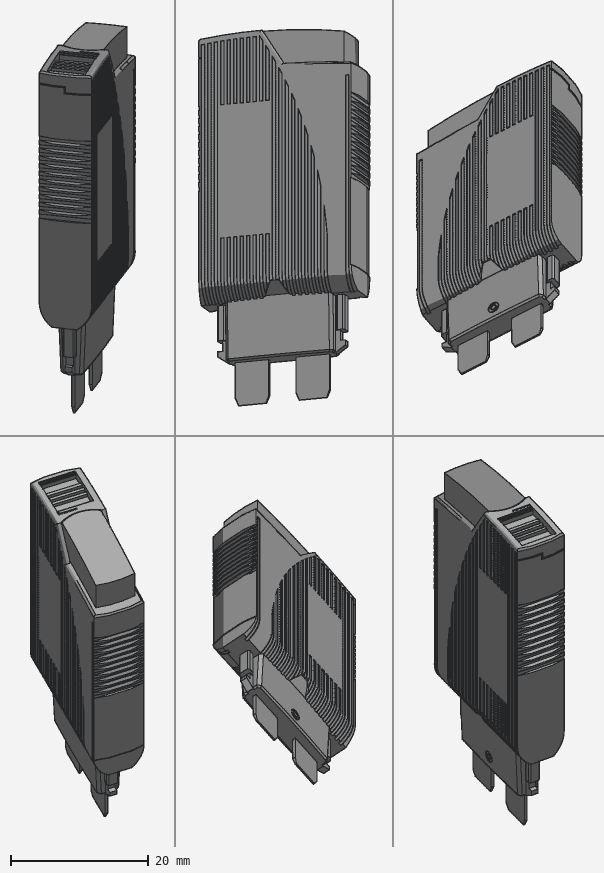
import cadquery as cq
import math


total_height = 55.2
half_thickness = 3.945
half_depth = 12.2
corner_half_depth = 11.8
flat_half_width = 1.75
shell_bottom = 15.05
shoulder_start = 18.6
shoulder_radius = 4.1
top_edge_radius = 0.35
top_end_chamfer = 0.2
lower_back_relief = 0.1

crown_centre_y = -2.75
crown_radius = 77.3
deck_radius = 135.25
deck_crest = 49.95
slope_top_y = -2.15
slope_bottom_y = 1.2

button_half_width = 3.1
button_back_corner_y = 10.4
button_back_bulge = 0.3
button_front_corner_y = -2.1
button_front_bulge = 0.95
button_clearance = 0.1

groove_depth = 0.15
groove_width = 0.5
groove_pitch = 1.0
groove_count = 20
first_groove_y = 8.05
groove_top_drop = 0.95
edge_groove_top = 47.2
label_bottom = 24.4
label_top = 44.5
label_front_y = -8.5
label_back_y = -0.8
grooved_area_arc = [(8.15, 21.6), (3.55, 42.9), (-2.45, 54.3)]

thumb_depth = 0.3
thumb_centre_y = -0.2
thumb_top = 17.45
thumb_middle = 16.35
thumb_top_half_width = 0.65
thumb_middle_half_width = 1.3
thumb_bottom_half_width = 2.2

grip_bottom = 31.75
grip_top = 44.55
grip_floor_half_depth = 11.75
grip_rib_count = 10
grip_rib_pitch = 1.205
grip_rib_base = 0.7
grip_rib_tip = 0.3

seam_width = 0.15
seam_depth = 0.15
front_seam_left_z = 52.7
front_seam_right_z = 51.8
top_seam_y = -3.85

window_half_width = 2.85
window_back_y = -4.35
window_front_y = -11.25
window_rim_steps = 2
window_rim_step = 0.2
window_depth = 1.2
bar_count = 3
bar_width = 0.5
bar_pitch = 1.0
bar_height = 0.55
first_bar_y = -6.55
bar_end_gap = 0.2

plug_centre_y = -0.2
plug_bottom = 6.45
plug_top = 16.0
plug_bottom_half_thickness = 1.8
plug_top_half_thickness = 2.2
plug_half_depth = 8.35
plug_corner = 0.5
plug_side_drop = 0.1
plug_bottom_panel_half_width = 2.5
plug_top_panel_half_width = 2.85
plug_bottom_chamfer = 0.3

latch_half_depth = 9.9
latch_neck_half_depth = 9.1
flange_inner_half_depth = 8.55
flange_half_thickness = 0.95
flange_chamfer = 0.3
flange_bottom = 9.8
hook_half_thickness = 0.55
hook_top = 8.3
hook_tip_bottom = 7.5

mark_z = 8.7
mark_radius = 0.9
mark_centre_radius = 0.45
mark_depth = 0.15

blade_width = 5.2
blade_spacing = 9.4
blade_thickness = 0.5
blade_taper_height = 1.1
blade_taper_inset = 0.45
blade_tip_thickness = 0.2


def box_between(x_range, y_range, z_range):
    """Axis-aligned box given by its limits along each axis."""
    size = [limits[1] - limits[0] for limits in (x_range, y_range, z_range)]
    return cq.Workplane("XY").box(*size, centered=False).translate((x_range[0], y_range[0], z_range[0]))


def crown_z(y, drop=0.0):
    """Height of the crowned top at y, or of the concentric arc that lies lower by drop."""
    radius = crown_radius - drop
    return total_height - crown_radius + math.sqrt(radius**2 - (y - crown_centre_y) ** 2)


def deck_z(y):
    """Height of the lower deck at y."""
    return deck_crest - deck_radius + math.sqrt(deck_radius**2 - (y - crown_centre_y) ** 2)


def crown_arc(sketch, y_from, y_to, drop=0.0):
    """Continue an outline along the crown arc from y_from to y_to."""
    y_middle = (y_from + y_to) / 2
    return sketch.threePointArc((y_middle, crown_z(y_middle, drop)), (y_to, crown_z(y_to, drop)))


def deck_arc(sketch, y_from, y_to):
    """Continue an outline along the deck arc from y_from to y_to."""
    y_middle = (y_from + y_to) / 2
    return sketch.threePointArc((y_middle, deck_z(y_middle)), (y_to, deck_z(y_to)))


def across_thickness(sketch):
    """Extrude a closed YZ outline through the whole thickness."""
    return sketch.close().extrude(half_thickness, both=True)


def thickness_profile(inset):
    """Solid with rounded lower shoulders, smaller than the shell by inset on faces and shoulders."""
    half_width = half_thickness - inset
    radius = shoulder_radius - inset
    centre_x = half_thickness - shoulder_radius
    drop = shoulder_start - shell_bottom
    bottom_x = centre_x + math.sqrt(radius**2 - drop**2)
    middle_angle = math.asin(drop / radius) / 2
    middle_x = centre_x + radius * math.cos(middle_angle)
    middle_z = shoulder_start - radius * math.sin(middle_angle)
    return (
        cq.Workplane("XZ")
        .moveTo(-bottom_x, shell_bottom)
        .lineTo(bottom_x, shell_bottom)
        .threePointArc((middle_x, middle_z), (half_width, shoulder_start))
        .lineTo(half_width, total_height)
        .lineTo(-half_width, total_height)
        .lineTo(-half_width, shoulder_start)
        .threePointArc((-middle_x, middle_z), (-bottom_x, shell_bottom))
        .close()
        .extrude(half_depth, both=True)
    )


def plan_prism():
    """Six-sided plan with a flat middle and two slanted flanks at the front and at the back."""
    quarter = [(half_thickness, corner_half_depth), (flat_half_width, half_depth)]
    back = quarter + [(-x, y) for x, y in reversed(quarter)]
    front = [(-x, -y) for x, y in back]
    return cq.Workplane("XY").polyline(back + front).close().extrude(total_height)


def side_profile():
    """Side outline with the crowned top, the slope and the lower deck."""
    sketch = cq.Workplane("YZ").moveTo(-half_depth, shell_bottom).lineTo(-half_depth, crown_z(-half_depth))
    sketch = crown_arc(sketch, -half_depth, slope_top_y)
    sketch = sketch.lineTo(slope_bottom_y, deck_z(slope_bottom_y))
    sketch = deck_arc(sketch, slope_bottom_y, half_depth)
    return across_thickness(sketch.lineTo(half_depth, shell_bottom))


def rounded_shell():
    """Shell with rounded upper side edges and chamfered upper front and back edges."""
    shell = side_profile().intersect(thickness_profile(0))
    top_zone = cq.selectors.BoxSelector(
        (-total_height, -half_depth, deck_z(half_depth)), (total_height, half_depth, total_height)
    )
    crosswise = cq.selectors.ParallelDirSelector(cq.Vector(1, 0, 0))
    upright = cq.selectors.ParallelDirSelector(cq.Vector(0, 0, 1))
    shell = shell.edges(top_zone - crosswise - upright).fillet(top_edge_radius)
    shell = shell.intersect(plan_prism()).cut(make_lower_back_relief())
    front_bevel = make_end_bevel(-1, crown_z(-half_depth))
    return shell.cut(front_bevel).cut(make_end_bevel(1, deck_z(half_depth)))


def make_end_bevel(side, edge_z):
    """Wedge that bevels the upper front (side -1) or back (side 1) edge along flat and flanks."""
    flank_slope = (half_depth - corner_half_depth) / (half_thickness - flat_half_width)
    outer_x = 2 * half_thickness
    outer_y = half_depth - flank_slope * (outer_x - flat_half_width)
    points = [(outer_x, 0), (outer_x, outer_y), (flat_half_width, half_depth)]
    points += [(-x, y) for x, y in reversed(points)]
    bevel_height = 2 * top_end_chamfer
    kept = (
        cq.Workplane("XY", origin=(0, 0, edge_z - top_end_chamfer))
        .polyline([(x, side * y) for x, y in points])
        .close()
        .extrude(bevel_height, taper=45)
    )
    wedge = box_between(
        (-half_thickness, half_thickness),
        sorted((side * (corner_half_depth - bevel_height), side * half_depth)),
        (edge_z - top_end_chamfer, edge_z + top_end_chamfer),
    )
    return wedge.cut(kept)


def make_lower_back_relief():
    """Thin layer taken off the back edge below its grip ribs."""
    band = box_between((-half_thickness, half_thickness), (0, half_depth), (shoulder_start, grip_bottom))
    return band.cut(plan_prism().translate((0, -lower_back_relief, 0)))


def button_plan(clearance):
    """Tall prism with bulged front and back faces, widened all round by the clearance."""
    half_width = button_half_width + clearance
    front_y = button_front_corner_y - clearance
    back_y = button_back_corner_y + clearance
    return (
        cq.Workplane("XY")
        .moveTo(half_width, front_y)
        .lineTo(half_width, back_y)
        .threePointArc((0, back_y + button_back_bulge), (-half_width, back_y))
        .lineTo(-half_width, front_y)
        .threePointArc((0, front_y - button_front_bulge), (half_width, front_y))
        .close()
        .extrude(total_height)
    )


def above_deck():
    """Space between the deck arc and the crown arc."""
    sketch = cq.Workplane("YZ").moveTo(-half_depth, crown_z(-half_depth))
    sketch = crown_arc(sketch, -half_depth, half_depth)
    sketch = sketch.lineTo(half_depth, deck_z(half_depth))
    return across_thickness(deck_arc(sketch, half_depth, -half_depth))


def make_button():
    return button_plan(0).intersect(above_deck())


def make_button_bay():
    return button_plan(button_clearance).intersect(above_deck())


def skin(depth):
    """Layer of the given depth on the broad faces and shoulders."""
    return thickness_profile(0).cut(thickness_profile(depth))


def grooved_area():
    """Prism over the part of the broad faces that carries grooves."""
    low, middle, high = grooved_area_arc
    sketch = cq.Workplane("YZ").moveTo(low[0], shell_bottom).lineTo(*low).threePointArc(middle, high)
    sketch = sketch.lineTo(high[0], crown_z(high[0], groove_top_drop))
    sketch = crown_arc(sketch, high[0], -half_depth, groove_top_drop)
    area = across_thickness(sketch.lineTo(-half_depth, shell_bottom))
    label = box_between(
        (-half_thickness, half_thickness), (label_front_y, label_back_y), (label_bottom, label_top)
    )
    return area.cut(label)


def groove_strip(back_y, top):
    return box_between(
        (-half_thickness, half_thickness), (back_y - groove_width, back_y), (shell_bottom, top)
    )


def make_grooves():
    strips = groove_strip(first_groove_y, total_height)
    for i in range(1, groove_count):
        strips = strips.union(groove_strip(first_groove_y - i * groove_pitch, total_height))
    last_front_y = first_groove_y - (groove_count - 1) * groove_pitch - groove_width
    edge_groove = groove_strip(-last_front_y, edge_groove_top)
    return strips.intersect(grooved_area()).union(edge_groove).intersect(skin(groove_depth))


def make_thumb_recess():
    outline = [
        (thumb_bottom_half_width, shell_bottom),
        (thumb_middle_half_width, thumb_middle),
        (thumb_top_half_width, thumb_top),
    ]
    outline += [(-y, z) for y, z in reversed(outline)]
    points = [(thumb_centre_y + y, z) for y, z in outline]
    return across_thickness(cq.Workplane("YZ").polyline(points)).intersect(skin(thumb_depth))


def make_grip_gaps(side):
    """Material removed between the grip ribs on the front (side -1) or back (side 1) edge."""
    floor_y = side * grip_floor_half_depth
    tip_y = side * half_depth
    band = box_between(
        (-half_thickness, half_thickness), sorted((floor_y, tip_y)), (grip_bottom, grip_top)
    )
    grip_middle = (grip_bottom + grip_top) / 2
    first_rib_z = grip_middle - (grip_rib_count - 1) / 2 * grip_rib_pitch
    for i in range(grip_rib_count):
        rib_z = first_rib_z + i * grip_rib_pitch
        rib = cq.Workplane("YZ").polyline(
            [
                (floor_y, rib_z - grip_rib_base / 2),
                (tip_y, rib_z - grip_rib_tip / 2),
                (tip_y, rib_z + grip_rib_tip / 2),
                (floor_y, rib_z + grip_rib_base / 2),
            ]
        )
        band = band.cut(across_thickness(rib))
    return band


def make_front_seam():
    """Stepped groove that follows the slanted flanks of the front edge."""
    half = seam_width / 2
    outline = (
        cq.Workplane("XZ")
        .moveTo(-half_thickness, front_seam_left_z - half)
        .lineTo(-half, front_seam_left_z - half)
        .lineTo(-half, front_seam_right_z - half)
        .lineTo(half_thickness, front_seam_right_z - half)
        .lineTo(half_thickness, front_seam_right_z + half)
        .lineTo(half, front_seam_right_z + half)
        .lineTo(half, front_seam_left_z + half)
        .lineTo(-half_thickness, front_seam_left_z + half)
        .close()
        .extrude(half_depth)
    )
    return outline.cut(plan_prism().translate((0, seam_depth, 0)))


def below_crown(y_range, half_width, depth):
    """Block under the crowned top, following it down to the given depth."""
    front, back = y_range
    sketch = cq.Workplane("YZ").moveTo(front, total_height).lineTo(front, crown_z(front, depth))
    sketch = crown_arc(sketch, front, back, depth)
    return sketch.lineTo(back, total_height).close().extrude(half_width, both=True)


def make_window():
    """Window pocket with terraced front and back ends and cross bars standing on its floor."""
    pocket_y = (window_front_y, window_back_y)
    pocket = below_crown(pocket_y, window_half_width, window_rim_step)
    for i in range(1, window_rim_steps + 1):
        inset = i * window_rim_step
        depth = inset + window_rim_step if i < window_rim_steps else window_depth
        step_y = (window_front_y + inset, window_back_y - inset)
        pocket = pocket.union(below_crown(step_y, window_half_width, depth))
    for i in range(bar_count):
        back_y = first_bar_y - i * bar_pitch
        bar_z = crown_z(back_y, window_depth)
        bar = box_between(
            (-window_half_width, window_half_width - bar_end_gap),
            (back_y - bar_width, back_y),
            (bar_z - bar_height, bar_z + bar_height),
        )
        pocket = pocket.cut(bar)
    return pocket


def make_top_seam():
    """Angled groove from the middle of the crown to the right rear corner of the window."""
    half = seam_width / 2
    across = below_crown((top_seam_y - half, top_seam_y + half), half_thickness, seam_depth)
    across = across.intersect(box_between((0, window_half_width), (-half_depth, 0), (0, total_height)))
    along = below_crown((window_back_y, top_seam_y), half_thickness, seam_depth)
    along_x = (window_half_width - seam_width, window_half_width)
    return across.union(along.intersect(box_between(along_x, (-half_depth, 0), (0, total_height))))


def plug_section(half_thick, panel_half_width):
    """Outline of the plug base: a middle panel, slightly slanted sides and cut corners."""
    side_x = half_thick - plug_side_drop
    quarter = [
        (side_x - plug_corner, plug_half_depth),
        (side_x, plug_half_depth - plug_corner),
        (half_thick, panel_half_width),
    ]
    right = quarter + [(x, -y) for x, y in reversed(quarter)]
    return right + [(-x, -y) for x, y in right]


def make_plug_body():
    body = (
        cq.Workplane("XY", origin=(0, 0, plug_bottom))
        .polyline(plug_section(plug_bottom_half_thickness, plug_bottom_panel_half_width))
        .close()
        .workplane(offset=plug_top - plug_bottom)
        .polyline(plug_section(plug_top_half_thickness, plug_top_panel_half_width))
        .close()
        .loft(ruled=True)
    )
    return body.faces("<Z").edges().chamfer(plug_bottom_chamfer)


def make_latches():
    """Guide flange on a web, with a hook below it, at both ends of the plug base."""
    half = [
        (plug_half_depth, plug_bottom),
        (latch_half_depth, hook_tip_bottom),
        (latch_half_depth, hook_top),
        (latch_neck_half_depth, hook_top),
        (latch_neck_half_depth, shell_bottom),
    ]
    outline = half + [(-y, z) for y, z in reversed(half)]
    latches = cq.Workplane("YZ").polyline(outline).close().extrude(hook_half_thickness, both=True)
    for side in (-1, 1):
        flange = box_between(
            (-flange_half_thickness, flange_half_thickness),
            sorted((side * flange_inner_half_depth, side * latch_half_depth)),
            (flange_bottom, shell_bottom),
        )
        latches = latches.union(flange.edges("|Z").chamfer(flange_chamfer))
    return latches


def make_round_mark():
    """Shallow round recess with a raised centre on the -X face of the plug base."""
    taper = (plug_top_half_thickness - plug_bottom_half_thickness) / (plug_top - plug_bottom)
    face_x = plug_bottom_half_thickness + taper * (mark_z - plug_bottom)
    return (
        cq.Workplane("YZ", origin=(-face_x - mark_depth, 0, mark_z))
        .circle(mark_radius)
        .circle(mark_centre_radius)
        .extrude(2 * mark_depth)
    )


def make_plug_base():
    return make_plug_body().union(make_latches()).cut(make_round_mark()).translate((0, plug_centre_y, 0))


def make_blade(centre_y):
    """Flat blade butting against the plug base, tapered on all sides at its tip."""
    shank = (
        cq.Workplane("XY", origin=(0, 0, blade_taper_height))
        .rect(blade_thickness, blade_width)
        .extrude(plug_bottom - blade_taper_height)
    )
    tip = (
        cq.Workplane("XY")
        .rect(blade_tip_thickness, blade_width - 2 * blade_taper_inset)
        .workplane(offset=blade_taper_height)
        .rect(blade_thickness, blade_width)
        .loft(ruled=True)
    )
    return shank.union(tip).translate((0, centre_y, 0))


def make_housing():
    housing = rounded_shell().cut(make_button_bay())
    housing = housing.cut(make_window()).cut(make_top_seam()).cut(make_front_seam())
    housing = housing.cut(make_grip_gaps(-1)).cut(make_grip_gaps(1))
    housing = housing.cut(make_thumb_recess()).cut(make_grooves())
    return housing.union(make_plug_base())


button = make_button()
housing = make_housing()
blades = []
for side in (-1, 1):
    blades.append(make_blade(plug_centre_y + side * blade_spacing / 2).val())

result = cq.Compound.makeCompound([housing.val(), button.val(), *blades])